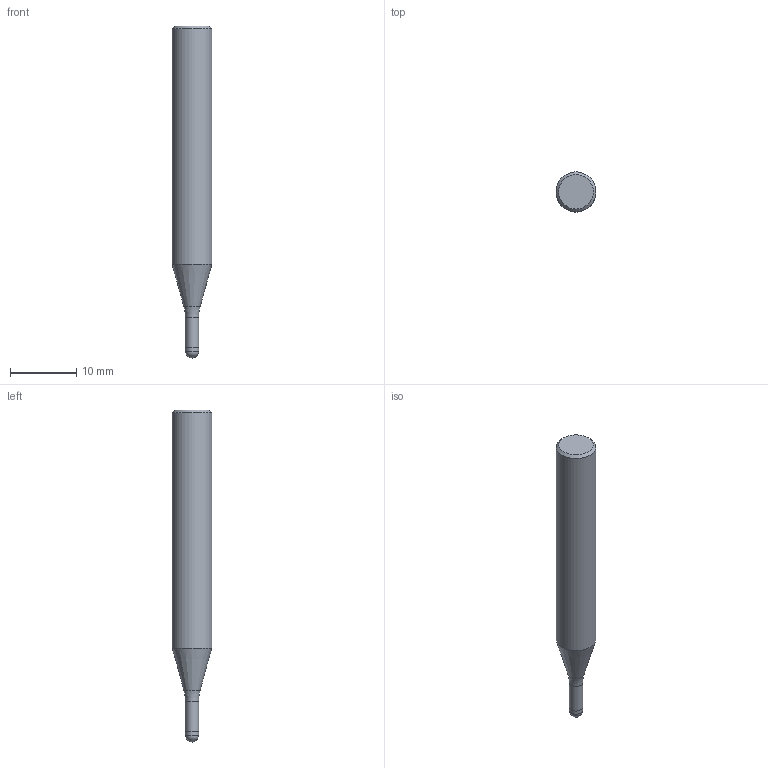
import cadquery as cq
import math

overall_length = 50.0

head_diameter = 2.0
head_length = 1.6
ball_radius = head_diameter / 2

neck_diameter = head_diameter
neck_radius = neck_diameter / 2
neck_end_z = 6.1
blend_radius = 6.2

taper_half_angle = math.radians(15.5)
shank_diameter = 6.0
shank_radius = shank_diameter / 2
shank_chamfer = 0.4


def blend_point(angle):
    """Point (radius, z) on the blend arc where its tangent leans outward from the axis by angle."""
    radius = neck_radius + blend_radius * (1 - math.cos(angle))
    z = neck_end_z + blend_radius * math.sin(angle)
    return radius, z


def revolve_about_z(profile):
    """Full turn of a closed (radius, z) profile about the Z axis."""
    return profile.revolve(360, (0, 0, 0), (0, 1, 0))


def make_head():
    """Hemispherical tip with a short cylinder behind it."""
    ball_middle = (
        ball_radius * math.sin(math.pi / 4),
        ball_radius * (1 - math.cos(math.pi / 4)),
    )
    profile = (
        cq.Workplane("XZ")
        .moveTo(0, 0)
        .threePointArc(ball_middle, (ball_radius, ball_radius))
        .lineTo(ball_radius, head_length)
        .lineTo(0, head_length)
        .close()
    )
    return revolve_about_z(profile)


def make_shank():
    """Neck, blend, taper and chamfered shank, resting on the flat back of the head."""
    blend_end = blend_point(taper_half_angle)
    taper_length = (shank_radius - blend_end[0]) / math.tan(taper_half_angle)
    taper_end_z = blend_end[1] + taper_length
    profile = (
        cq.Workplane("XZ")
        .moveTo(0, head_length)
        .lineTo(neck_radius, head_length)
        .lineTo(neck_radius, neck_end_z)
        .threePointArc(blend_point(taper_half_angle / 2), blend_end)
        .lineTo(shank_radius, taper_end_z)
        .lineTo(shank_radius, overall_length - shank_chamfer)
        .lineTo(shank_radius - shank_chamfer, overall_length)
        .lineTo(0, overall_length)
        .close()
    )
    return revolve_about_z(profile)


head = make_head()
shank = make_shank()

result = cq.Compound.makeCompound([head.val(), shank.val()])